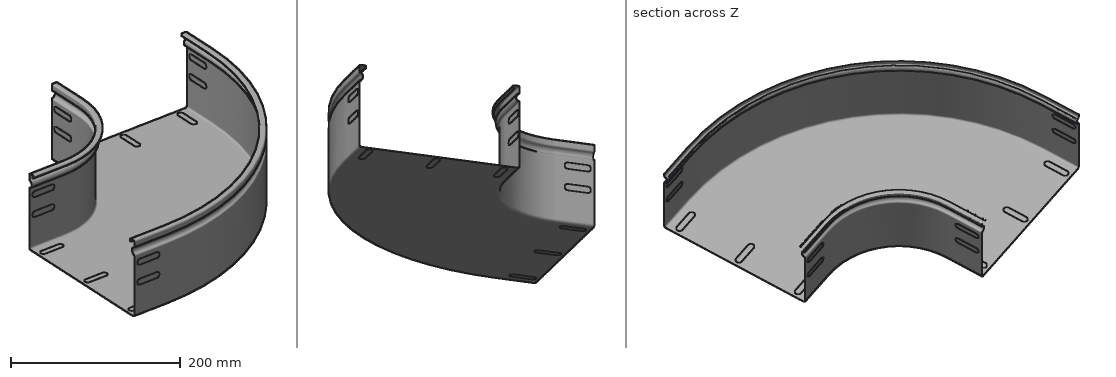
import cadquery as cq
import math


inner_radius = 99.5
tray_width = 202.5
leg_along_x = 49.5
leg_along_y = 50.0
outer_radius = inner_radius + tray_width
half_width = tray_width / 2
middle_radius = inner_radius + half_width

sheet = 0.7
height = 104.0
floor_bend = 3.0
rim_bend = 2.3
rim_width = 9.0

bead_z = 89.5
bead_depth = 4.5
bead_half_mouth = 6.7
bead_radius = 5.0
bead_angle = 2 * math.atan(bead_depth / bead_half_mouth)
mouth_radius = bead_half_mouth / math.sin(bead_angle) - bead_radius

slot_length = 33.0
slot_width = 8.0
slot_to_end = 21.0
x_end_slot = slot_to_end - leg_along_x
y_end_slot = slot_to_end - leg_along_y
floor_slot_spacing = 84.8
wall_slot_heights = (45.5, 72.5)
knockout_depth = sheet / 2


def arc_point(center, radius, angle):
    """Point at the given angle on a circle in the section plane."""
    return (center[0] + radius * math.cos(angle), center[1] + radius * math.sin(angle))


def bead_arcs(depth):
    """Bead outline, bottom to top, on the skin lying `depth` inside the wall: three-point arcs."""
    groove_center = (bead_depth - bead_radius, bead_z)
    skin_mouth_radius = mouth_radius - depth
    lower_center = (mouth_radius, bead_z - bead_half_mouth)
    upper_center = (mouth_radius, bead_z + bead_half_mouth)
    steps = (0, bead_angle / 2, bead_angle)
    lower_mouth = [arc_point(lower_center, skin_mouth_radius, math.pi - step) for step in steps]
    groove = [arc_point(groove_center, bead_radius + depth, angle) for angle in (-bead_angle, 0, bead_angle)]
    upper_mouth = [arc_point(upper_center, skin_mouth_radius, math.pi + step) for step in reversed(steps)]
    return [lower_mouth, groove, upper_mouth]


def draw_arcs(outline, arcs):
    """Continue the outline with a line to the first arc, then along all the arcs."""
    outline = outline.lineTo(*arcs[0][0])
    for _, middle, end in arcs:
        outline = outline.threePointArc(middle, end)
    return outline


def corner_arc(center, radius, start_degrees, end_degrees):
    """Three-point arc about a center in the section plane."""
    angles = (start_degrees, (start_degrees + end_degrees) / 2, end_degrees)
    return [arc_point(center, radius, math.radians(angle)) for angle in angles]


def skin_arcs(depth):
    """All arcs of one sheet skin, from the floor bend to the curled edge of the rim."""
    floor_corner = corner_arc((floor_bend, floor_bend), floor_bend - depth, 270, 180)
    rim_z = height - rim_bend
    wall_corner = corner_arc((rim_bend, rim_z), rim_bend - depth, 180, 90)
    edge_curl = corner_arc((rim_width - rim_bend, rim_z), rim_bend - depth, 90, -90)
    return [[floor_corner], bead_arcs(depth), [wall_corner], [edge_curl]]


def half_section(plane):
    """Closed section of one wall and half the floor; local x runs from the wall into the tray."""
    outline = cq.Workplane(plane).moveTo(half_width, 0)
    for arcs in skin_arcs(0):
        outline = draw_arcs(outline, arcs)
    for arcs in reversed(skin_arcs(sheet)):
        outline = draw_arcs(outline, [arc[::-1] for arc in reversed(arcs)])
    return outline.lineTo(half_width, sheet).close()


def wall_run(wall_radius, inward):
    """One wall with half the floor along both legs and the bend; inward is +1 or -1 along the radius."""
    x_end = cq.Plane(origin=(0, wall_radius, 0), xDir=(0, inward, 0), normal=(inward, 0, 0))
    y_end = cq.Plane(origin=(wall_radius, 0, 0), xDir=(inward, 0, 0), normal=(0, -inward, 0))
    leg_x = half_section(x_end).extrude(-inward * leg_along_x)
    leg_y = half_section(y_end).extrude(inward * leg_along_y)
    axis_x = -inward * wall_radius
    bend = half_section(y_end).revolve(90, (axis_x, 0), (axis_x, 1))
    return leg_x.union(leg_y).union(bend)


def slot_pads(plane, centers, angle=0):
    """Slot shapes, one knockout deep, rising from the given plane along its normal."""
    return (
        cq.Workplane(plane)
        .pushPoints(centers)
        .slot2D(slot_length, slot_width, angle)
        .extrude(knockout_depth)
    )


def floor_knockouts():
    """Three knockouts in the top of the floor at each end, lengthwise along the legs."""
    recess_floor = cq.Plane(origin=(0, 0, sheet - knockout_depth))
    places = [middle_radius + step * floor_slot_spacing for step in (-1, 0, 1)]
    x_end_pads = slot_pads(recess_floor, [(x_end_slot, place) for place in places])
    y_end_pads = slot_pads(recess_floor, [(place, y_end_slot) for place in places], 90)
    return x_end_pads.union(y_end_pads)


def wall_knockouts(face_radius):
    """Two knockouts, one above the other, at each end, sunk from a wall face away from the bend axis."""
    x_end_face = cq.Plane(origin=(0, face_radius, 0), xDir=(-1, 0, 0), normal=(0, 1, 0))
    y_end_face = cq.Plane(origin=(face_radius, 0, 0), xDir=(0, 1, 0), normal=(1, 0, 0))
    x_end_pads = slot_pads(x_end_face, [(-x_end_slot, z) for z in wall_slot_heights])
    y_end_pads = slot_pads(y_end_face, [(y_end_slot, z) for z in wall_slot_heights])
    return x_end_pads.union(y_end_pads)


tray = wall_run(inner_radius, 1).union(wall_run(outer_radius, -1)).clean()
result = (
    tray
    .cut(floor_knockouts())
    .cut(wall_knockouts(inner_radius))
    .cut(wall_knockouts(outer_radius - sheet))
)